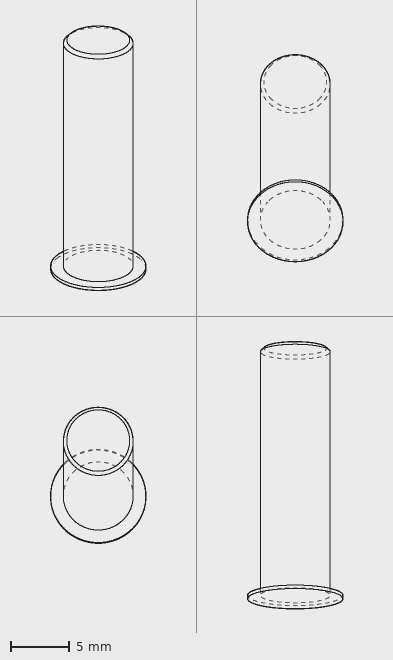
import cadquery as cq

total_height = 22.0
head_diameter = 8.2
head_thickness = 0.3
shank_diameter = 6.0
tip_chamfer = 0.3


def make_head():
    """Thin round flange at the base of the pin."""
    return cq.Workplane("XY").circle(head_diameter / 2).extrude(head_thickness)


def make_shank():
    """Plain cylinder through the full height, chamfered at its tip."""
    shank = cq.Workplane("XY").circle(shank_diameter / 2).extrude(total_height)
    return shank.faces(">Z").edges().chamfer(tip_chamfer)


result = make_head().union(make_shank())